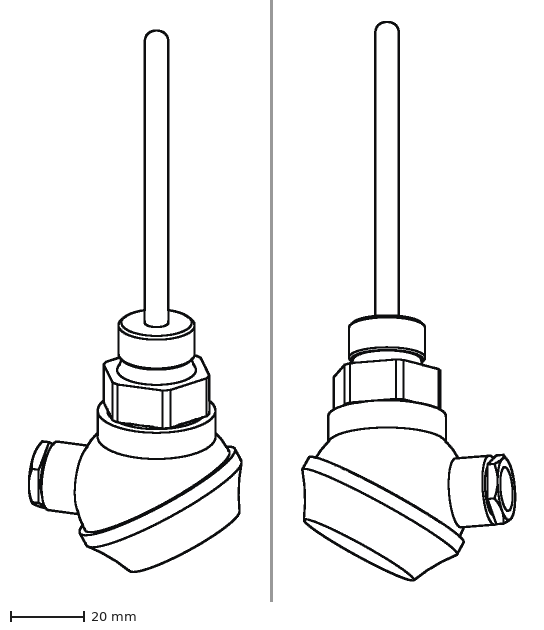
import cadquery as cq
import math


COLLAR_TOP = 23.4
HEX_BOTTOM = 24.2
HEX_TOP = 35.4
THREAD_BOTTOM = 39.5
FITTING_TOP = 49.4
PROBE_TIP = 135.35

HEAD_RADIUS = 22.5
COLLAR_RADIUS = 16.15
HEAD_RIM_HEIGHT = 0.4
ENTRY_RADIUS = 9.5
ENTRY_END_X = -30.0

LID_TILT = 30
LID_RADIUS = 24.2
LID_BAND_DEPTH = 4.2
LID_BASE_DEPTH = 16.1
LID_BASE_RADIUS = 17.2
LID_SIDE_SAG = 0.6

WASHER_RADIUS = 13.5
HEX_FLATS = 27.0
HEX_CORNER_DIAMETER = 30.0
FLARE_RADIUS = 10.8
NECK_RADIUS = 9.3
FLARE_SAG = 0.2
THREAD_RADIUS = 10.45
THREAD_TOP_CHAMFER = 0.8
THREAD_BOTTOM_CHAMFER = 0.6

PROBE_RADIUS = 3.25
PROBE_TIP_FILLET = 2.7

GLAND_NECK_END_X = -31.2
GLAND_END_X = -34.1
GLAND_NECK_RADIUS = 7.0
GLAND_FLATS = 17.0
GLAND_BORE_RADIUS = 6.0
GLAND_CHAMFER_ANGLE = 35


def across_corners(flats):
    return flats / math.cos(math.radians(30))


def cylinder_along_z(radius, bottom, top):
    return cq.Workplane("XY").workplane(offset=bottom).circle(radius).extrude(top - bottom)


def tilt(body):
    """Turn a body from the Z axis onto the axis of the lid."""
    return body.rotate((0, 0, 0), (0, 1, 0), -LID_TILT)


def make_housing():
    """Ball cut off at a tilted plane with a low rim below it, a collar on top and a cable entry."""
    collar = cylinder_along_z(COLLAR_RADIUS, 0, COLLAR_TOP)
    entry = cq.Workplane("YZ").circle(ENTRY_RADIUS).extrude(ENTRY_END_X)
    ball = cq.Workplane("XY").sphere(HEAD_RADIUS)
    below_ball = tilt(cylinder_along_z(2 * HEAD_RADIUS, -2 * HEAD_RADIUS, 0))
    rim = tilt(cylinder_along_z(HEAD_RADIUS, -HEAD_RIM_HEIGHT, 0))
    return ball.union(collar).union(entry).cut(below_ball).union(rim)


def make_lid():
    """Cylindrical band running into a hollow-sided taper, down to a flat base."""
    side_middle = (
        (LID_RADIUS + LID_BASE_RADIUS) / 2 - LID_SIDE_SAG,
        -(LID_BAND_DEPTH + LID_BASE_DEPTH) / 2,
    )
    profile = (
        cq.Workplane("XZ")
        .moveTo(0, -HEAD_RIM_HEIGHT)
        .lineTo(LID_RADIUS, -HEAD_RIM_HEIGHT)
        .lineTo(LID_RADIUS, -LID_BAND_DEPTH)
        .threePointArc(side_middle, (LID_BASE_RADIUS, -LID_BASE_DEPTH))
        .lineTo(0, -LID_BASE_DEPTH)
        .close()
    )
    return tilt(profile.revolve(360, (0, 0), (0, 1)))


def make_washer():
    return cylinder_along_z(WASHER_RADIUS, COLLAR_TOP, HEX_BOTTOM)


def make_fitting():
    """Hexagon with rounded corners, a flared neck and a threaded end as a plain cylinder."""
    hexagon = (
        cq.Workplane("XY")
        .workplane(offset=HEX_BOTTOM)
        .polygon(6, across_corners(HEX_FLATS))
        .extrude(HEX_TOP - HEX_BOTTOM)
    )
    hexagon = hexagon.intersect(cylinder_along_z(HEX_CORNER_DIAMETER / 2, HEX_BOTTOM, HEX_TOP))

    flare_middle = (
        (FLARE_RADIUS + NECK_RADIUS) / 2 - FLARE_SAG,
        (HEX_TOP + THREAD_BOTTOM) / 2,
    )
    neck = (
        cq.Workplane("XZ")
        .moveTo(0, HEX_TOP)
        .lineTo(FLARE_RADIUS, HEX_TOP)
        .threePointArc(flare_middle, (NECK_RADIUS, THREAD_BOTTOM))
        .lineTo(0, THREAD_BOTTOM)
        .close()
        .revolve(360, (0, 0), (0, 1))
    )
    thread = cylinder_along_z(THREAD_RADIUS, THREAD_BOTTOM, FITTING_TOP)
    thread = thread.faces(">Z").chamfer(THREAD_TOP_CHAMFER)
    thread = thread.faces("<Z").chamfer(THREAD_BOTTOM_CHAMFER)
    return hexagon.union(neck).union(thread)


def make_probe():
    probe = cylinder_along_z(PROBE_RADIUS, FITTING_TOP, PROBE_TIP)
    return probe.faces(">Z").edges().fillet(PROBE_TIP_FILLET)


def make_gland():
    """Hexagon nut on a short neck, with a chamfered outer end and a through bore."""
    neck = (
        cq.Workplane("YZ")
        .workplane(offset=ENTRY_END_X)
        .circle(GLAND_NECK_RADIUS)
        .extrude(GLAND_NECK_END_X - ENTRY_END_X)
    )
    nut_length = GLAND_NECK_END_X - GLAND_END_X
    corner_radius = across_corners(GLAND_FLATS) / 2
    nut = (
        cq.Workplane("YZ")
        .workplane(offset=GLAND_END_X)
        .polygon(6, 2 * corner_radius)
        .extrude(nut_length)
        .rotate((0, 0, 0), (1, 0, 0), 90)
    )
    chamfer_width = corner_radius - GLAND_FLATS / 2
    chamfer_length = chamfer_width * math.tan(math.radians(GLAND_CHAMFER_ANGLE))
    chamfer_envelope = (
        cq.Workplane("YZ")
        .workplane(offset=GLAND_END_X)
        .circle(corner_radius)
        .extrude(nut_length)
        .faces("<X")
        .chamfer(chamfer_length, chamfer_width)
    )
    bore = (
        cq.Workplane("YZ")
        .workplane(offset=GLAND_END_X)
        .circle(GLAND_BORE_RADIUS)
        .extrude(ENTRY_END_X - GLAND_END_X)
    )
    return nut.intersect(chamfer_envelope).union(neck).cut(bore)


housing = make_housing()
lid = make_lid()
washer = make_washer()
fitting = make_fitting()
probe = make_probe()
gland = make_gland()

result = cq.Compound.makeCompound(
    [
        housing.val(),
        lid.val(),
        washer.val(),
        fitting.val(),
        probe.val(),
        gland.val(),
    ]
)